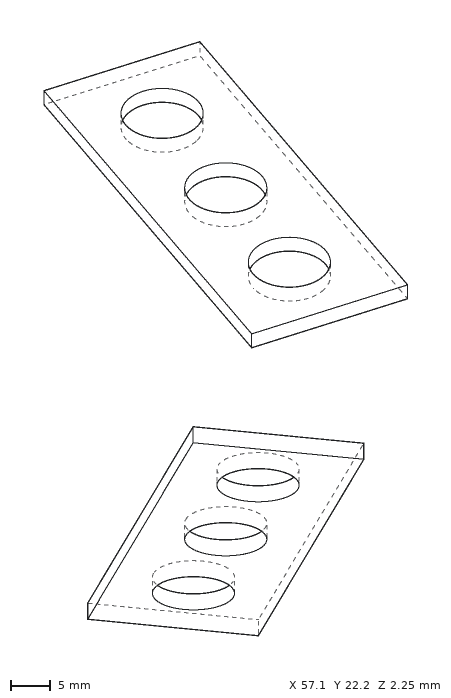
import cadquery as cq

length = 57.15
width = 22.25
thickness = 2.25

hole_count = 3
hole_diameter = 10.4
hole_pitch = 17.5

plate = cq.Workplane("XY").box(length, width, thickness)

result = (
    plate.faces(">Z")
    .workplane()
    .rarray(hole_pitch, 0.6, hole_count, 1)
    .hole(hole_diameter)
)